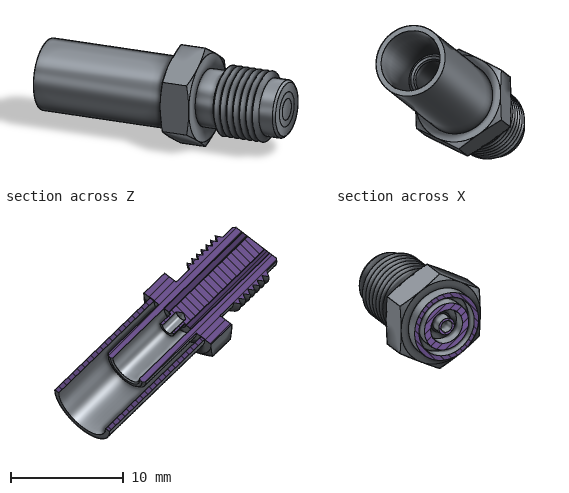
import cadquery as cq
import math


total_length = 23.25
hex_start = 12.71
hex_width = 2.8
thread_start = 17.25
thread_pitch = 0.63
thread_turns = 7
ridge_half_width = 0.35
stem_length = 6.97
barrel_length = 1.4

across_flats = 8.0
hex_chamfer_radius = across_flats / 2
hex_chamfer_depth = 0.2

nose_radius = 2.63
thread_crest_radius = 3.2
nose_chamfer = 0.2

ferrule_radius = 3.25
ferrule_bore_radius = 2.77
stem_radius = 2.25
stem_chamfer = 0.25
stem_bore_radius = 1.58
stem_bore_chamfer = 0.15

contact_radius = 0.98
barrel_radius = 0.81
solder_hole_radius = 0.53
solder_hole_depth = 1.85
drill_point_angle = 118.0

hex_end = hex_start + hex_width
stem_start = hex_start - stem_length
first_crest = thread_start + ridge_half_width
last_crest = first_crest + (thread_turns - 1) * thread_pitch
flank_slope = (thread_crest_radius - nose_radius) / ridge_half_width
thread_root_radius = thread_crest_radius - flank_slope * thread_pitch / 2
insulator_length = total_length - hex_start
hex_corner_radius = across_flats / math.sqrt(3)
drill_point_depth = solder_hole_radius / math.tan(math.radians(drill_point_angle / 2))


def revolve_about_x(points):
    """Revolve a closed profile of (x, radius) points about the X axis."""
    return cq.Workplane("XY").polyline(points).close().revolve(360, (0, 0, 0), (1, 0, 0))


def cylinder_along_x(start, length, radius):
    return cq.Workplane("YZ", origin=(start, 0, 0)).circle(radius).extrude(length)


def make_hexagon():
    """Hexagon with corners at +Z and -Z, its corners turned to a cone on both end faces."""
    prism = (
        cq.Workplane("YZ", origin=(hex_start, 0, 0))
        .polygon(6, 2 * hex_corner_radius)
        .extrude(hex_width)
        .rotate((0, 0, 0), (1, 0, 0), 90)
    )
    corner_cones = revolve_about_x([
        (hex_start, 0),
        (hex_start, hex_chamfer_radius),
        (hex_start + hex_chamfer_depth, hex_corner_radius),
        (hex_end - hex_chamfer_depth, hex_corner_radius),
        (hex_end, hex_chamfer_radius),
        (hex_end, 0),
    ])
    return prism.intersect(corner_cones)


def make_nose():
    """Cylindrical nose with V-shaped thread ridges and a chamfered tip."""
    profile = [(hex_end, 0), (hex_end, nose_radius), (thread_start, nose_radius)]
    for turn in range(thread_turns - 1):
        crest = first_crest + turn * thread_pitch
        profile.append((crest, thread_crest_radius))
        profile.append((crest + thread_pitch / 2, thread_root_radius))
    profile += [
        (last_crest, thread_crest_radius),
        (last_crest + ridge_half_width, nose_radius),
        (total_length - nose_chamfer, nose_radius),
        (total_length, nose_radius - nose_chamfer),
        (total_length, 0),
    ]
    return revolve_about_x(profile)


def make_stem():
    """Crimp stem inside the ferrule, chamfered outside at its free end."""
    return cylinder_along_x(stem_start, stem_length, stem_radius).faces("<X").chamfer(stem_chamfer)


def make_bore():
    """Through bore of the body, countersunk at the stem's free end."""
    return revolve_about_x([
        (stem_start, 0),
        (stem_start, stem_bore_radius + stem_bore_chamfer),
        (stem_start + stem_bore_chamfer, stem_bore_radius),
        (total_length, stem_bore_radius),
        (total_length, 0),
    ])


def make_body():
    return make_hexagon().union(make_nose()).union(make_stem()).cut(make_bore())


def make_ferrule():
    """Plain tube that butts against the hexagon around the stem."""
    return (
        cq.Workplane("YZ")
        .circle(ferrule_radius)
        .circle(ferrule_bore_radius)
        .extrude(hex_start)
    )


def make_insulator():
    return (
        cq.Workplane("YZ", origin=(hex_start, 0, 0))
        .circle(stem_bore_radius)
        .circle(contact_radius)
        .extrude(insulator_length)
    )


def make_contact():
    """Stepped pin with a drilled solder hole in its narrower rear barrel."""
    barrel_start = hex_start - barrel_length
    hole_end = barrel_start + solder_hole_depth
    return revolve_about_x([
        (barrel_start, solder_hole_radius),
        (barrel_start, barrel_radius),
        (hex_start, barrel_radius),
        (hex_start, contact_radius),
        (total_length, contact_radius),
        (total_length, 0),
        (hole_end + drill_point_depth, 0),
        (hole_end, solder_hole_radius),
    ])


body = make_body()
ferrule = make_ferrule()
insulator = make_insulator()
contact = make_contact()

result = cq.Compound.makeCompound([body.val(), ferrule.val(), insulator.val(), contact.val()])